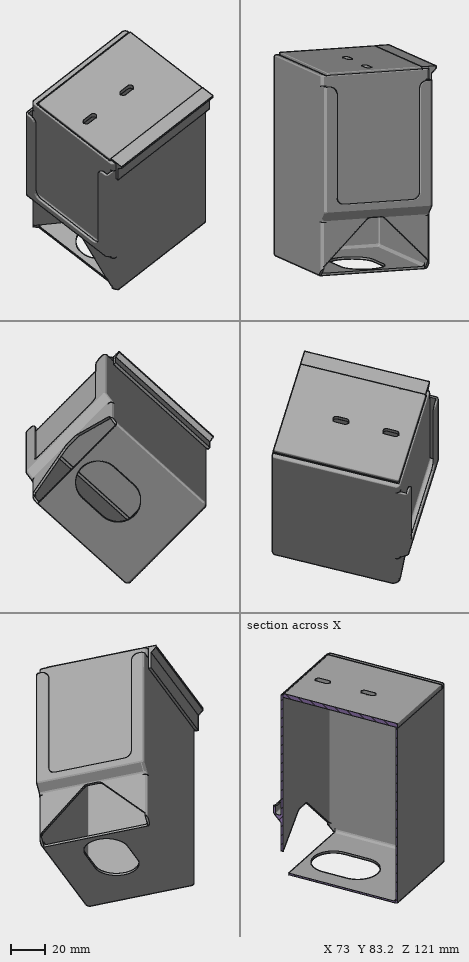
import cadquery as cq

TOTAL_WIDTH = 73.0
TOTAL_DEPTH = 83.2
TOTAL_HEIGHT = 121.0

SHEET = 1.5
HOUSING_WIDTH = 68.2
HOUSING_HEIGHT = 119.8
FRAME_RISE = 5.1
CORNER_RADIUS = 2.5
BOTTOM_RADIUS = 1.5
TOP_EDGE_RADIUS = 0.7
INNER_CORNER_RADIUS = CORNER_RADIUS - SHEET
INNER_FLOOR_RADIUS = 1.9
CENTRE_X = HOUSING_WIDTH / 2
FRONT_Y = FRAME_RISE

FRAME_TOP = 113.7
FRAME_BOTTOM = 38.7
FRAME_BEND_RADIUS = 2.0
LIP_RADIUS = 0.5
GAP_FLOOR_RADIUS = 1.2
FRAME_ROOT = FRONT_Y + CORNER_RADIUS
SLOPE_END = FRAME_BOTTOM - FRAME_RISE
FOOT_HEIGHT = 1.0
FRAME_FOOT = SLOPE_END - FOOT_HEIGHT
FRAME_BAR = 8.0
WINDOW_WIDTH = HOUSING_WIDTH - 2 * FRAME_BAR
WINDOW_BOTTOM = 43.4
WINDOW_RADIUS = 4.5

OPENING_TOP_WIDTH = 9.7
OPENING_FOOT = 6.3
OPENING_RADIUS = 3.6
FLOOR_SETBACK = 5.2

FLOOR_HOLE_WIDTH = 26.6
FLOOR_HOLE_LENGTH = 42.6
SLOT_MIDDLE_Y = TOTAL_DEPTH - 48.2

PLATE_LEFT = 4.2
PLATE_RIGHT = 64.1
PLATE_DEPTH = 76.5
PLATE_THICKNESS = 3.0
PLATE_EDGE_RADIUS = 0.5
PLATE_CORNER_RADIUS = 1.0
PLATE_FRONT = TOTAL_DEPTH - PLATE_DEPTH
SLOT_WIDTH = 3.9
SLOT_LENGTH = 9.5
SLOT_SPACING = 30.5

TOP_OPENING_LEFT = 3.3
TOP_OPENING_FRONT = FRONT_Y + SHEET
PLATE_UNDERSIDE = TOTAL_HEIGHT - PLATE_THICKNESS
PLATE_BASE_THICKNESS = 1.1

RAIL_LENGTH = 76.1
RAIL_LEG_BOTTOM = 106.2
RAIL_LEG_RIGHT = 70.0
RAIL_BEVEL_TOP = 119.5
RAIL_BEVEL_BOTTOM = RAIL_BEVEL_TOP - (TOTAL_WIDTH - RAIL_LEG_RIGHT)


def block(x0, x1, y0, y1, z0, z1):
    """Box between two opposite corners."""
    return cq.Workplane("XY").box(x1 - x0, y1 - y0, z1 - z0, centered=False).translate((x0, y0, z0))


def side_prism(outline, x0, x1):
    """Y-Z outline extruded along X."""
    return cq.Workplane("YZ", origin=(x0, 0, 0)).polyline(outline).close().extrude(x1 - x0)


def outer_box():
    box = block(0, HOUSING_WIDTH, FRONT_Y, TOTAL_DEPTH, 0, HOUSING_HEIGHT)
    box = box.edges("|Z").fillet(CORNER_RADIUS)
    box = box.faces("<Z").edges().fillet(BOTTOM_RADIUS)
    return box.faces(">Z").edges().fillet(TOP_EDGE_RADIUS)


def raised_frame():
    """Solid front bulge with its window, sloping back to the front wall at its lower end."""
    outline = [
        (FRAME_ROOT, FRAME_TOP),
        (0, FRAME_TOP),
        (0, FRAME_BOTTOM),
        (FRAME_RISE, SLOPE_END),
        (FRAME_RISE, FRAME_FOOT),
        (FRAME_ROOT, FRAME_FOOT),
    ]
    frame = side_prism(outline, 0, HOUSING_WIDTH)
    slope_foot = cq.selectors.NearestToPointSelector((CENTRE_X, FRONT_Y, SLOPE_END))
    frame = frame.edges(slope_foot).fillet(FRAME_BEND_RADIUS)
    slope_head = cq.selectors.NearestToPointSelector((CENTRE_X, 0, FRAME_BOTTOM))
    frame = frame.edges(slope_head).fillet(FRAME_BEND_RADIUS)
    frame = frame.faces("<Y").edges("|Z").fillet(FRAME_BEND_RADIUS)
    frame = frame.cut(window())
    sill = cq.selectors.NearestToPointSelector((CENTRE_X, 0, WINDOW_BOTTOM))
    return frame.edges(sill).fillet(LIP_RADIUS)


def interior():
    cavity = block(
        SHEET, HOUSING_WIDTH - SHEET, FRONT_Y + SHEET, TOTAL_DEPTH - SHEET, SHEET, HOUSING_HEIGHT - SHEET
    )
    cavity = cavity.edges("|Z").fillet(INNER_CORNER_RADIUS)
    return cavity.faces("<Z").edges().fillet(INNER_FLOOR_RADIUS)


def frame_cavity():
    """Gap between the frame and the front wall, open at the top."""
    gap = block(SHEET, HOUSING_WIDTH - SHEET, SHEET, FRONT_Y, FRAME_BOTTOM, FRAME_TOP)
    return gap.faces("<Z").edges("|X").fillet(GAP_FLOOR_RADIUS)


def window():
    """Opening through the frame, flaring outwards at its upper end."""
    left = CENTRE_X - WINDOW_WIDTH / 2
    right = CENTRE_X + WINDOW_WIDTH / 2
    r = WINDOW_RADIUS
    arc_inset = r * (1 - 0.5**0.5)
    outline = (
        cq.Workplane("XZ")
        .moveTo(left - r, FRAME_TOP)
        .threePointArc((left - arc_inset, FRAME_TOP - arc_inset), (left, FRAME_TOP - r))
        .lineTo(left, WINDOW_BOTTOM + r)
        .threePointArc((left + arc_inset, WINDOW_BOTTOM + arc_inset), (left + r, WINDOW_BOTTOM))
        .lineTo(right - r, WINDOW_BOTTOM)
        .threePointArc((right - arc_inset, WINDOW_BOTTOM + arc_inset), (right, WINDOW_BOTTOM + r))
        .lineTo(right, FRAME_TOP - r)
        .threePointArc((right + arc_inset, FRAME_TOP - arc_inset), (right + r, FRAME_TOP))
        .close()
    )
    return outline.extrude(-FRONT_Y)


def dispensing_opening():
    """Opening in the lower front wall with sloping sides, and the bevel below it."""
    half_top = OPENING_TOP_WIDTH / 2
    foot_half = CENTRE_X - SHEET
    outline = [
        (CENTRE_X - half_top, SLOPE_END),
        (CENTRE_X + half_top, SLOPE_END),
        (CENTRE_X + foot_half, OPENING_FOOT),
        (CENTRE_X + foot_half, 0),
        (CENTRE_X - foot_half, 0),
        (CENTRE_X - foot_half, OPENING_FOOT),
    ]
    opening = cq.Workplane("XZ").polyline(outline).close().extrude(-(FRONT_Y + FLOOR_SETBACK))
    opening = opening.faces(">Z").edges("|Y").fillet(OPENING_RADIUS)
    bevel = [(FRONT_Y, 0), (FRONT_Y + FLOOR_SETBACK, 0), (FRONT_Y, FLOOR_SETBACK)]
    return opening.union(side_prism(bevel, 0, HOUSING_WIDTH))


def make_housing():
    housing = outer_box().union(raised_frame())
    housing = housing.cut(interior()).cut(frame_cavity()).cut(dispensing_opening())
    floor_hole = (
        cq.Workplane("XY", origin=(CENTRE_X, SLOT_MIDDLE_Y, 0))
        .slot2D(FLOOR_HOLE_LENGTH, FLOOR_HOLE_WIDTH, 90)
        .extrude(SHEET)
    )
    return housing.cut(floor_hole).cut(top_opening_block(HOUSING_HEIGHT))


def top_opening_block(top):
    """Footprint of the top opening, from the plate's underside up to the given height."""
    return block(TOP_OPENING_LEFT, PLATE_RIGHT, TOP_OPENING_FRONT, TOTAL_DEPTH, PLATE_UNDERSIDE, top)


def make_top_plate():
    """Raised slotted panel on a slightly larger base."""
    plate = block(PLATE_LEFT, PLATE_RIGHT, PLATE_FRONT, TOTAL_DEPTH, PLATE_UNDERSIDE, TOTAL_HEIGHT)
    plate = plate.faces("<Y").edges("|Z").fillet(PLATE_CORNER_RADIUS)
    plate = plate.faces(">Z").edges().fillet(PLATE_EDGE_RADIUS)
    slots = (
        cq.Workplane("XY", origin=(CENTRE_X, SLOT_MIDDLE_Y, TOTAL_HEIGHT))
        .rarray(1.2, SLOT_SPACING, 1, 2)
        .slot2D(SLOT_LENGTH, SLOT_WIDTH, 90)
        .extrude(-PLATE_THICKNESS)
    )
    return plate.union(top_opening_block(PLATE_UNDERSIDE + PLATE_BASE_THICKNESS)).cut(slots)


def make_edge_rail():
    """Angle section over the housing's top right edge, with a bevelled lip."""
    outline = [
        (PLATE_RIGHT, HOUSING_HEIGHT),
        (HOUSING_WIDTH, HOUSING_HEIGHT),
        (HOUSING_WIDTH, RAIL_LEG_BOTTOM),
        (RAIL_LEG_RIGHT, RAIL_LEG_BOTTOM),
        (RAIL_LEG_RIGHT, RAIL_BEVEL_BOTTOM),
        (TOTAL_WIDTH, RAIL_BEVEL_TOP),
        (TOTAL_WIDTH, TOTAL_HEIGHT),
        (PLATE_RIGHT, TOTAL_HEIGHT),
    ]
    return cq.Workplane("XZ", origin=(0, TOTAL_DEPTH, 0)).polyline(outline).close().extrude(RAIL_LENGTH)


housing = make_housing()
top_plate = make_top_plate()
edge_rail = make_edge_rail()

result = cq.Compound.makeCompound([housing.val(), top_plate.val(), edge_rail.val()])